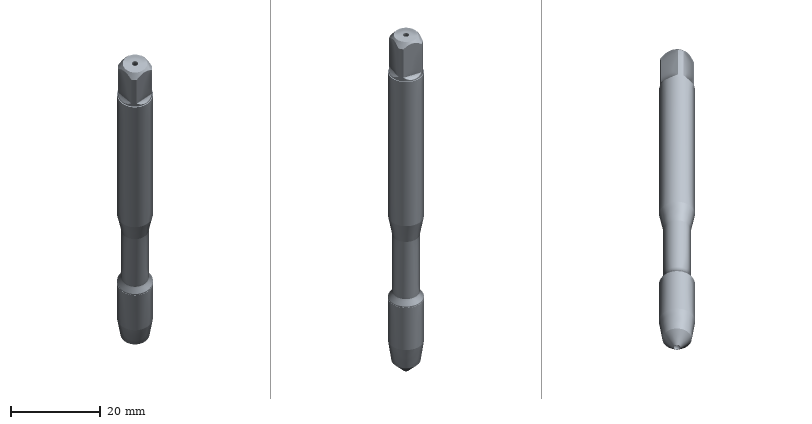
import cadquery as cq

total_length = 92.4

bore_diameter = 1.4

tip_diameter = 1.6
nose_diameter = 6.6
head_diameter = 8.1
shoulder_diameter = 8.0
nose_height = 2.7
lead_top = 8.2
head_top = 19.9
shoulder_bottom = 20.2
shoulder_top = 21.6
joint_height = 22.1

neck_diameter = 6.2
shank_diameter = 8.0
neck_top = 37.4
taper_top = 42.4
shank_top = 82.3

drive_corner_diameter = 7.7
drive_top_diameter = 5.45
drive_width = 6.2
flat_bottom = 83.3
drive_chamfer_height = 1.3


def revolve_profile(stations):
    """Revolve (diameter, height) stations, listed bottom to top, around Z with the bore left open."""
    bore_radius = bore_diameter / 2
    outer = [(diameter / 2, height) for diameter, height in stations]
    bottom = (bore_radius, stations[0][1])
    top = (bore_radius, stations[-1][1])
    outline = cq.Workplane("XZ").polyline([bottom, *outer, top]).close()
    return outline.revolve(360, (0, 0, 0), (0, 1, 0))


def make_cutting_head():
    return revolve_profile([
        (tip_diameter, 0),
        (nose_diameter, nose_height),
        (head_diameter, lead_top),
        (head_diameter, head_top),
        (shoulder_diameter, head_top),
        (shoulder_diameter, shoulder_bottom),
        (neck_diameter, shoulder_top),
        (neck_diameter, joint_height),
    ])


def make_drive_envelope():
    """Square prism for the flats, standing on a foot whose sides slope outward at 45 degrees."""
    foot_height = flat_bottom - shank_top
    foot_width = drive_width + 2 * foot_height
    foot = (
        cq.Workplane("XY", origin=(0, 0, shank_top))
        .rect(foot_width, foot_width)
        .workplane(offset=foot_height)
        .rect(drive_width, drive_width)
        .loft(ruled=True)
    )
    prism = (
        cq.Workplane("XY", origin=(0, 0, flat_bottom))
        .rect(drive_width, drive_width)
        .extrude(total_length - flat_bottom)
    )
    return foot.union(prism)


def make_shank():
    body = revolve_profile([
        (neck_diameter, joint_height),
        (neck_diameter, neck_top),
        (shank_diameter, taper_top),
        (shank_diameter, shank_top),
    ])
    round_drive = revolve_profile([
        (drive_corner_diameter, shank_top),
        (drive_corner_diameter, total_length - drive_chamfer_height),
        (drive_top_diameter, total_length),
    ])
    drive = round_drive.intersect(make_drive_envelope())
    return body.union(drive)


cutting_head = make_cutting_head()
shank = make_shank()

result = cq.Compound.makeCompound([cutting_head.val(), shank.solids().val()])